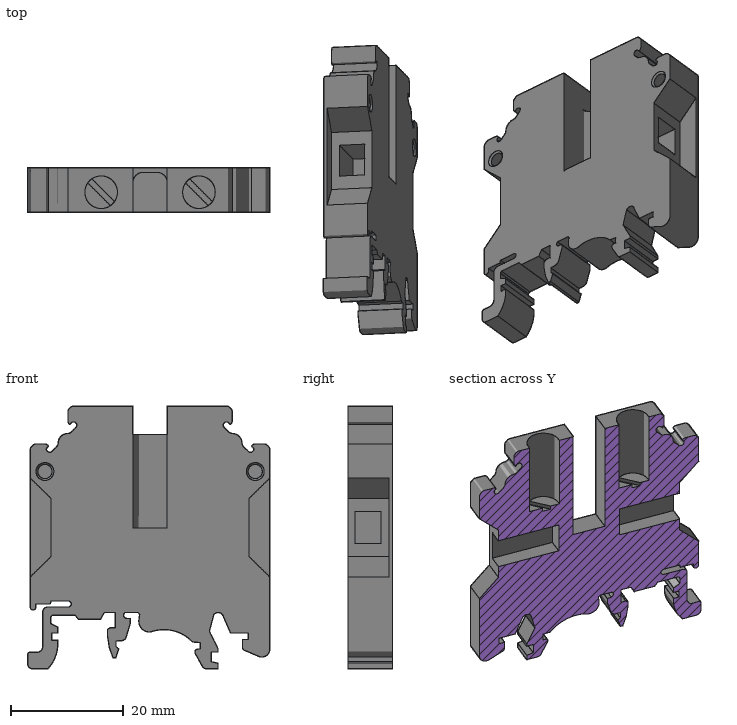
import cadquery as cq

height = 46.65
thickness = 8.0
half_width = 21.25
tower_edge_x = 14.6
clip_reach = 21.75

shoulder_z = 39.95
ledge_z = 10.0
latch_slot_bottom = 11.0
latch_slot_top = 12.05

slot_half_width = 3.05
slot_floor_z = 25.05
slot_wall_top = 41.6
slot_wall_thickness = 0.85
slot_corner_radius = 1.8

terminal_y = 3.6
screw_x = 8.7
shaft_diameter = 5.8
shaft_depth = 14
driver_slot_width = 1.03
driver_slot_depth = 0.7

recess_depth = 3.7
recess_mid_z = 25.1
recess_outer_height = 17.6
recess_inner_height = 10.35
recess_wall_thickness = 0.65
entry_width = 4.55
entry_height = 5.6
entry_depth = 11.65

pin_x = 18.65
pin_z = 35.05
pin_diameter = 2.5
pin_rim_diameter = 3.15
pin_depth = 2.8

corner_length = 1.0
corner_flat_start = 0.5
corner_flat_inset = 0.2
blend_middle_along = 0.75
blend_middle_inset = 0.05


def softened_corner(x, z):
    """Steps around an upper left corner whose sharp point would be (x, z), from its side to its top."""
    return [
        (x, z - corner_length),
        ((x + blend_middle_inset, z - blend_middle_along), (x + corner_flat_inset, z - corner_flat_start)),
        (x + corner_flat_start, z - corner_flat_inset),
        ((x + blend_middle_along, z - blend_middle_inset), (x + corner_length, z)),
    ]


left_shoulder = [
    *softened_corner(-half_width, shoulder_z),
    (-18.55, shoulder_z),
    ((-18.25, 39.8), (-18.0, 39.55)),
    (-18.4, 39.1),
    ((-18.1, 38.55), (-17.55, 38.55)),
    (-16.65, 39.35),
    ((-16.4, 39.7), (-16.35, 40.1)),
    ((-15.8, 41.3), (-14.65, 41.8)),
    ((-14.25, 41.9), (-13.9, 42.12)),
    (-13.15, 42.85),
    ((-13.1, 43.55), (-13.9, 43.7)),
    (-14.25, 43.35),
    ((-14.5, 43.65), (-tower_edge_x, 44.05)),
    *softened_corner(-tower_edge_x, height),
]

right_hook = [
    (half_width, 3.55),
    ((20.85, 2.5), (19.3, 2.2)),
    (16.95, 3.2),
    ((16.5, 3.45), (16.37, 3.83)),
    (16.37, 5.22),
    (17.4, 5.25),
    (17.4, 6.35),
    (14.27, 6.35),
    (12.85, 9.65),
    ((12.05, ledge_z), (11.35, 9.65)),
    (10.55, 6.65),
]

right_foot = [
    (12.1, 3.6),
    (12.1, 3.0),
    (10.85, 3.0),
    (10.85, 1.3),
    (12.1, 1.03),
    (12.1, 0),
    (10.0, 0),
    ((9.55, 0.15), (9.3, 0.4)),
    (8.02, 2.7),
    ((8.0, 3.15), (8.45, 3.55)),
    (8.85, 3.55),
    (8.85, 4.65),
    (7.55, 4.75),
]

underside = [
    ((4.6, 6.62), (1.03, 6.8)),
    (0, 6.55),
    ((-1.45, 7.1), (-2.0, 8.65)),
    (-1.85, 9.7),
    (-2.1, ledge_z),
    (-4.5, ledge_z),
    ((-4.65, 9.4), (-4.3, 9.0)),
]

middle_foot = [
    (-3.5, 8.95),
    (-3.5, 8.02),
    (-4.25, 5.6),
    ((-4.55, 5.2), (-5.2, 5.0)),
    (-6.0, 4.95),
    (-6.0, 3.95),
    (-5.55, 3.55),
    (-6.05, 1.95),
    (-6.6, 1.95),
    (-7.25, 3.75),
    (-7.55, 5.75),
    (-7.55, 7.05),
    (-7.1, 7.32),
    (-6.2, 7.32),
    (-6.2, ledge_z),
    (-8.1, ledge_z),
    (-8.75, 8.8),
    (-12.75, 8.8),
    (-13.3, 9.5),
]

latch_foot = [
    (-17.3, 9.5),
    (-17.6, 9.25),
    (-17.6, 8.05),
    (-16.37, 7.4),
    (-16.37, 6.35),
    (-17.4, 6.35),
    (-17.4, 5.15),
    (-16.37, 5.15),
    (-16.37, 3.9),
    ((-17.0, 1.7), (-18.15, 0)),
    (-20.75, 0),
    ((-21.45, 0.3), (-clip_reach, 1.0)),
    (-clip_reach, 2.5),
    ((-21.6, 2.85), (-21.25, 3.0)),
    (-20.1, 3.0),
    ((-19.35, 3.25), (-19.1, 4.0)),
    (-19.1, 10.1),
    ((-18.8, 10.75), (-18.2, latch_slot_bottom)),
    (-14.5, latch_slot_bottom),
    ((-14, 11.5), (-14.5, latch_slot_top)),
    (-17.55, latch_slot_top),
    (-17.75, 11.5),
    (-20.25, 11.5),
    (-20.25, 10.85),
    ((-20.75, 10.45), (-half_width, 10.85)),
]


def trace(sketch, stretch):
    """Continue a sketch along a stretch of lines and arcs."""
    for first, second in stretch:
        if isinstance(first, tuple):
            sketch = sketch.threePointArc(first, second)
        else:
            sketch = sketch.lineTo(first, second)
    return sketch


def front_face():
    """Workplane on the front face with axes X and Z; negative lengths go into the block, toward +Y."""
    return cq.Workplane("XZ")


def mirrored(stretch):
    """Mirror a stretch about X = 0 and run it backwards, starting from its mirrored last point."""
    steps = []
    for step, step_before in zip(reversed(stretch[1:]), reversed(stretch[:-1])):
        end = step_before[-1] if isinstance(step_before[0], tuple) else step_before
        mirrored_end = (-end[0], end[1])
        if isinstance(step[0], tuple):
            middle_x, middle_z = step[0]
            steps.append(((-middle_x, middle_z), mirrored_end))
        else:
            steps.append(mirrored_end)
    return steps


def make_body():
    """Extrude the side outline, both towers still joined across the marking slot."""
    top_right_x = -left_shoulder[-1][-1][0]
    sketch = front_face().moveTo(*latch_foot[-1][-1])
    sketch = trace(sketch, left_shoulder).lineTo(top_right_x, height)
    sketch = trace(sketch, mirrored(left_shoulder))
    for stretch in (right_hook, right_foot, underside, middle_foot, latch_foot):
        sketch = trace(sketch, stretch)
    return sketch.close().extrude(-thickness)


def make_marking_slot():
    """Round-cornered slot in front of the back wall, open right through above the wall."""
    width = 2 * slot_half_width
    pocket = (
        cq.Workplane("XY", origin=(0, 0, slot_floor_z))
        .rect(width, 2 * (thickness - slot_wall_thickness))
        .extrude(height - slot_floor_z)
        .edges("|Z and >Y")
        .fillet(slot_corner_radius)
    )
    opening = (
        cq.Workplane("XY", origin=(0, 0, slot_wall_top))
        .rect(width, 2 * thickness)
        .extrude(height - slot_wall_top)
    )
    return pocket.union(opening)


def make_screw_shaft(x):
    """Round shaft down to the screw head, with the head's diagonal driver slot in its floor."""
    floor = cq.Workplane("XY", origin=(x, terminal_y, height - shaft_depth))
    shaft = floor.circle(shaft_diameter / 2).extrude(shaft_depth)
    head = floor.circle(shaft_diameter / 2).extrude(-driver_slot_depth)
    driver_slot = (
        floor.transformed(rotate=(0, 0, -45))
        .rect(shaft_diameter, driver_slot_width)
        .extrude(-driver_slot_depth)
        .intersect(head)
    )
    return shaft.union(driver_slot)


def make_end_recess():
    """Sloped recess in the left end and the wire entry in its floor."""
    floor_x = recess_depth - half_width
    outer_rise = recess_outer_height / 2
    inner_rise = recess_inner_height / 2
    recess = (
        front_face()
        .moveTo(-half_width, recess_mid_z - outer_rise)
        .lineTo(-half_width, recess_mid_z + outer_rise)
        .lineTo(floor_x, recess_mid_z + inner_rise)
        .lineTo(floor_x, recess_mid_z - inner_rise)
        .close()
        .extrude(recess_wall_thickness - thickness)
    )
    entry = (
        cq.Workplane("YZ", origin=(floor_x, terminal_y, recess_mid_z))
        .rect(entry_width, entry_height)
        .extrude(entry_depth)
    )
    return recess.union(entry)


def make_pin_hole(x):
    """Blind hole in the front face with a chamfered rim."""
    rim_depth = (pin_rim_diameter - pin_diameter) / 2
    hole = front_face().center(x, pin_z).circle(pin_diameter / 2).extrude(-pin_depth)
    rim = (
        front_face()
        .center(x, pin_z)
        .circle(pin_rim_diameter / 2)
        .workplane(offset=-rim_depth)
        .circle(pin_diameter / 2)
        .loft()
    )
    return hole.union(rim)


end_recess = make_end_recess()

result = make_body().cut(make_marking_slot()).cut(end_recess).cut(end_recess.mirror("YZ"))
for side in (-1, 1):
    result = result.cut(make_screw_shaft(side * screw_x))
    result = result.cut(make_pin_hole(side * pin_x))